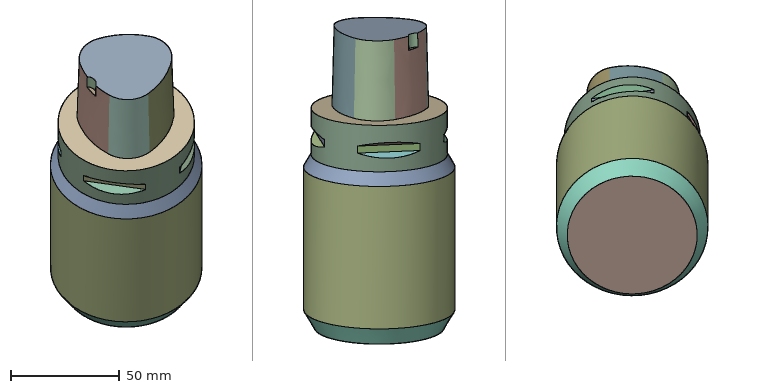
import cadquery as cq
import math

total_height = 143.0
shank_height = 38.0
flange_height = 22.2
flange_top_z = total_height - shank_height
flange_bottom_z = flange_top_z - flange_height

body_radius = 70.0 / 2
flange_radius = 63.0 / 2
bottom_radius = 60.0 / 2
cone_half_angle = math.radians(30)
shoulder_height = (body_radius - flange_radius) / math.tan(cone_half_angle)
bottom_chamfer_height = (body_radius - bottom_radius) / math.tan(cone_half_angle)

shank_mean_radius = 22.0
lobe_eccentricity = 1.6
lobe_center_offset = 9.0
lobe_count = 3
lobe_pitch = 360.0 / lobe_count
first_lobe_angle = 90.0
shank_taper = 1 / 20
shank_top_inset = shank_height * shank_taper / 2

groove_count = 4
groove_first_angle = 45.0
groove_floor_distance = 27.9
groove_floor_width = 3.35
groove_flank_angle = math.radians(30)
groove_drop = 12.0
groove_center_z = flange_top_z - groove_drop

notch_radius = 4.5
notch_inner_y = -17.6
notch_depth = 6.7


def polar(radius, degrees):
    """Horizontal vector with the given length and direction."""
    angle = math.radians(degrees)
    return cq.Vector(radius * math.cos(angle), radius * math.sin(angle), 0)


def turned_body():
    profile = [
        (0, 0),
        (bottom_radius, 0),
        (body_radius, bottom_chamfer_height),
        (body_radius, flange_bottom_z - shoulder_height),
        (flange_radius, flange_bottom_z),
        (flange_radius, flange_top_z),
        (0, flange_top_z),
    ]
    return cq.Workplane("XZ").polyline(profile).close().revolve(360, (0, 0), (0, 1))


def lobed_wire(inset, z):
    """Closed three-lobed outline at height z, moved inward by inset."""
    span = 2 * lobe_eccentricity
    side_center_offset = (
        span * (2 * lobe_center_offset - span) / (lobe_center_offset - 2 * span)
    )
    lobe_radius = shank_mean_radius + lobe_eccentricity - lobe_center_offset - inset
    side_radius = shank_mean_radius - lobe_eccentricity + side_center_offset - inset
    half_pitch = lobe_pitch / 2
    lobe_half_sweep = math.degrees(math.atan2(
        side_center_offset * math.sin(math.radians(half_pitch)),
        lobe_center_offset + side_center_offset * math.cos(math.radians(half_pitch)),
    ))

    lift = cq.Vector(0, 0, z)
    edges = []
    for index in range(lobe_count):
        lobe_angle = first_lobe_angle + index * lobe_pitch
        lobe_center = polar(lobe_center_offset, lobe_angle) + lift
        lobe_start = lobe_center + polar(lobe_radius, lobe_angle - lobe_half_sweep)
        lobe_middle = lobe_center + polar(lobe_radius, lobe_angle)
        lobe_end = lobe_center + polar(lobe_radius, lobe_angle + lobe_half_sweep)
        edges.append(cq.Edge.makeThreePointArc(lobe_start, lobe_middle, lobe_end))

        side_angle = lobe_angle + half_pitch
        side_middle = polar(side_radius - side_center_offset, side_angle) + lift
        next_angle = lobe_angle + lobe_pitch
        next_center = polar(lobe_center_offset, next_angle) + lift
        next_start = next_center + polar(lobe_radius, next_angle - lobe_half_sweep)
        edges.append(cq.Edge.makeThreePointArc(lobe_end, side_middle, next_start))
    return cq.Wire.assembleEdges(edges)


def shank():
    base_wire = lobed_wire(0, flange_top_z)
    top_wire = lobed_wire(shank_top_inset, total_height)
    return cq.Workplane(cq.Solid.makeLoft([base_wire, top_wire], True))


def gripper_groove(degrees):
    """Trapezoidal cutter along a chord of the flange, with a flat floor."""
    mouth_distance = body_radius
    floor_half = groove_floor_width / 2
    flare = (mouth_distance - groove_floor_distance) * math.tan(groove_flank_angle)
    mouth_half = floor_half + flare
    section = [
        (groove_floor_distance, groove_center_z - floor_half),
        (mouth_distance, groove_center_z - mouth_half),
        (mouth_distance, groove_center_z + mouth_half),
        (groove_floor_distance, groove_center_z + floor_half),
    ]
    cutter = cq.Workplane("XZ").polyline(section).close().extrude(flange_radius, both=True)
    return cutter.rotate((0, 0, 0), (0, 0, 1), degrees)


def shank_notch():
    return (
        cq.Workplane("XY", origin=(0, notch_inner_y - notch_radius, total_height))
        .circle(notch_radius)
        .extrude(-notch_depth)
    )


result = turned_body().union(shank()).cut(shank_notch())
for groove_index in range(groove_count):
    groove_angle = groove_first_angle + groove_index * 360.0 / groove_count
    result = result.cut(gripper_groove(groove_angle))